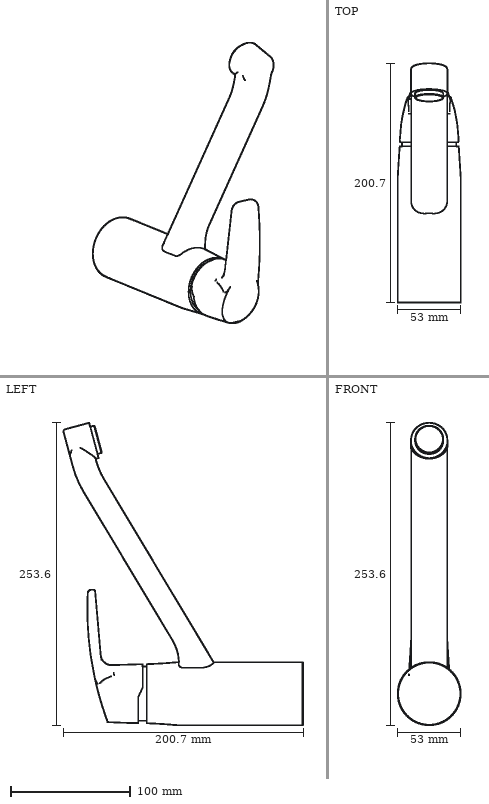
import cadquery as cq
import math


body_radius = 53.0 / 2
body_length = 105.5
body_edge_chamfer = 0.5
collar_radius = 24.9
collar_end = 131.0
groove_radius = 22.8

handle_start = 134.5
handle_notch = 138.0
notch_top = 5.0
notch_bottom = -2.5
handle_top = 24.0
handle_bottom = -22.8
core_end = handle_notch + 5

back_foot_y = 164.0
back_mid = (177.8, 30.5)
lever_top = 87.2
lever_tip_back = (180.3, lever_top)
lever_tip_thickness = 6.0
lever_foot = 2.5
lever_front_foot_y = 167.0
lever_foot_half_width = 18.0
lever_tip_half_width = 12.5
lever_corner_fillet = 7.5
lever_back_fillet = 3.3
lever_front_fillet = 2.0
lever_root_fillet = 9.0

spout_width = 30.5
spout_depth = 20.3
spout_front_fillet = 12.2
spout_back_fillet = 3.8
spout_tilt = math.radians(30.9)
spout_heel_y = 104.0
spout_heel_z = 35.5
spout_foot_z = 12.7
heel_fillet = 38.0
bend_fillet = 81.2

head_tilt = math.radians(15)
head_radius = 30.7 / 2
head_length = 22.8
head_back_fillet = 2.0
mouth_y = 175.2
mouth_z = 212.3
aerator_radius = 12.0
aerator_length = 3.8
aerator_chamfer = 0.5


def disc_along_y(radius, start, end):
    """Cylinder on the Y axis between two Y positions."""
    return cq.Workplane("XZ", origin=(0, start, 0)).circle(radius).extrude(start - end)


def make_body():
    barrel = disc_along_y(body_radius, 0, body_length).faces("<Y").chamfer(body_edge_chamfer)
    collar = (
        cq.Workplane("XZ", origin=(0, body_length, 0))
        .circle(body_radius)
        .workplane(offset=body_length - collar_end)
        .circle(collar_radius)
        .loft()
    )
    core = disc_along_y(groove_radius, body_length, core_end)
    return barrel.union(collar).union(core)


def make_handle_body():
    stations = [
        (handle_start, collar_radius, collar_radius),
        (153.5, 23.0, 24.3),
        (169.2, 19.3, 23.5),
        (180.0, 14.2, 22.8),
    ]
    shell = cq.Workplane("XZ", origin=(0, handle_start, 0))
    previous = handle_start
    for y, half_width, half_height in stations:
        shell = shell.workplane(offset=previous - y).ellipse(half_width, half_height)
        previous = y
    shell = shell.loft()
    trim = (
        cq.Workplane("YZ")
        .moveTo(handle_start, body_radius)
        .lineTo(handle_start, notch_top)
        .lineTo(handle_notch, notch_bottom)
        .lineTo(handle_notch, -body_radius)
        .lineTo(back_foot_y, -body_radius)
        .lineTo(back_foot_y, handle_bottom)
        .threePointArc(back_mid, lever_tip_back)
        .lineTo(handle_start, lever_top)
        .close()
        .extrude(body_radius, both=True)
    )
    return shell.intersect(trim)


def make_lever():
    side = (
        cq.Workplane("YZ")
        .moveTo(back_foot_y, handle_bottom)
        .threePointArc(back_mid, lever_tip_back)
        .lineTo(lever_tip_back[0] - lever_tip_thickness, lever_top)
        .lineTo(lever_front_foot_y, lever_foot)
        .lineTo(lever_front_foot_y, handle_bottom)
        .close()
        .extrude(body_radius, both=True)
    )
    outline = (
        cq.Workplane("XZ")
        .polyline([
            (-lever_foot_half_width, lever_foot),
            (-lever_tip_half_width, lever_top),
            (lever_tip_half_width, lever_top),
            (lever_foot_half_width, lever_foot),
        ])
        .close()
        .extrude(-2 * body_length)
        .edges("|Y and >Z")
        .fillet(lever_corner_fillet)
    )
    return side.intersect(outline)


def make_handle():
    """Handle body and lever, blended together at the lever root and rounded along the lever edges."""
    handle = make_handle_body().union(make_lever())
    lever_root_low = handle_top / 3
    lever_root_front = lever_front_foot_y - 2.5
    lever_root_back = lever_front_foot_y + 5
    root = cq.selectors.BoxSelector(
        (-lever_foot_half_width, lever_root_front, lever_root_low),
        (lever_foot_half_width, lever_root_back, handle_top),
    )
    handle = handle.edges(root).fillet(lever_root_fillet)
    handle = handle.faces(">Z").edges("|X").edges(">Y").fillet(lever_back_fillet)
    return handle.faces(">Z").edges("|X").edges("<Y").fillet(lever_front_fillet)


def make_spout():
    lean = math.tan(spout_tilt)
    head_lean = math.tan(head_tilt)
    back_y = mouth_y + head_length * math.cos(head_tilt)
    back_z = mouth_z - head_length * math.sin(head_tilt)
    front_y = back_y - spout_depth * math.cos(head_tilt)
    front_z = back_z + spout_depth * math.sin(head_tilt)

    def bend_point(end_y, end_z, line_y, line_z):
        """Corner between the leaning shank line and the head line."""
        z = (end_y - head_lean * end_z - line_y + lean * line_z) / (lean - head_lean)
        return line_y + lean * (z - line_z), z

    shank_depth_y = spout_depth / math.cos(spout_tilt)
    shank_front_y = spout_heel_y - shank_depth_y
    outer_bend = bend_point(back_y, back_z, spout_heel_y, spout_heel_z)
    inner_bend = bend_point(front_y, front_z, shank_front_y, spout_heel_z)
    toe_y = shank_front_y - lean * (spout_heel_z - spout_foot_z)
    spout = (
        cq.Workplane("YZ")
        .polyline([
            (spout_heel_y, spout_foot_z),
            (spout_heel_y, spout_heel_z),
            outer_bend,
            (back_y, back_z),
            (front_y, front_z),
            inner_bend,
            (toe_y, spout_foot_z),
        ])
        .close()
        .extrude(spout_width / 2, both=True)
    )

    def round_corner(solid, corner, radius):
        return solid.edges(cq.selectors.NearestToPointSelector((0, *corner))).fillet(radius)

    spout = round_corner(spout, (spout_heel_y, spout_heel_z), heel_fillet)
    spout = round_corner(spout, outer_bend, bend_fillet)
    spout = round_corner(spout, inner_bend, bend_fillet - spout_depth)
    shank_middle_z = (spout_heel_z + inner_bend[1]) / 2
    shank_middle_y = spout_heel_y + lean * (shank_middle_z - spout_heel_z)
    for side in (-spout_width / 2, spout_width / 2):
        back_edge = (side, shank_middle_y, shank_middle_z)
        front_edge = (side, shank_middle_y - shank_depth_y, shank_middle_z)
        spout = spout.edges(cq.selectors.NearestToPointSelector(back_edge)).fillet(spout_back_fillet)
        spout = spout.edges(cq.selectors.NearestToPointSelector(front_edge)).fillet(spout_front_fillet)
    return spout


def make_head():
    mouth = cq.Plane(
        origin=(0, mouth_y, mouth_z),
        xDir=(1, 0, 0),
        normal=(0, -math.cos(head_tilt), math.sin(head_tilt)),
    )
    barrel = cq.Workplane(mouth).circle(head_radius).extrude(-head_length)
    barrel = barrel.faces(">Y").edges().fillet(head_back_fillet)
    aerator = cq.Workplane(mouth).circle(aerator_radius).extrude(aerator_length)
    aerator = aerator.faces("<Y").chamfer(aerator_chamfer)
    return barrel.union(aerator)


result = make_body().union(make_handle()).union(make_spout()).union(make_head())